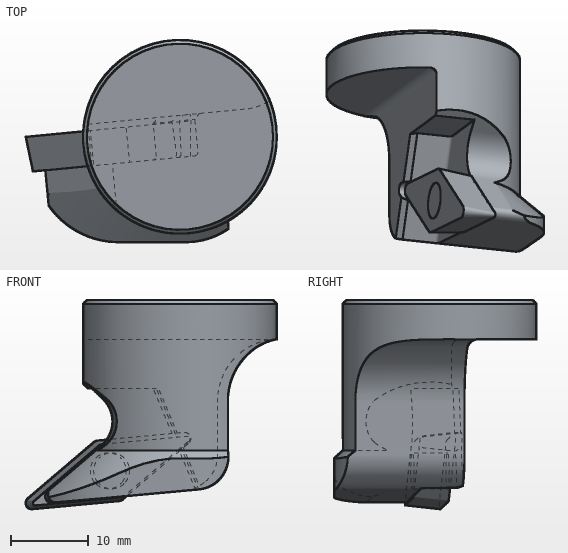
import cadquery as cq
import math


def sin_deg(angle):
    return math.sin(math.radians(angle))


def cos_deg(angle):
    return math.cos(math.radians(angle))


def tan_deg(angle):
    return math.tan(math.radians(angle))


def along(start, angle, distance):
    """Point reached from start by going a distance in the direction of an angle."""
    return (start[0] + distance * cos_deg(angle), start[1] + distance * sin_deg(angle))


head_diameter = 25.0
head_top_z = 27.0
head_chamfer = 0.5
tool_twist = 5.5
overshoot = 30.0

insert_angle = 35.0
insert_side = 14.05
insert_thickness = 4.55
insert_face = 1.907
insert_nose_radius = 0.8
insert_relief = 6.3
stud_diameter = 4.64
insert_corner = (-21.46, -0.234)
lower_edge_angle = 5.3
upper_edge_angle = lower_edge_angle + insert_angle
bisector_angle = lower_edge_angle + insert_angle / 2

insert_margin = 0.18
body_nose_radius = 0.8
gullet_radius = 4.1
gullet_start_z = 8.2
gullet_roof_angle = 43.5
right_wall = 5.13
right_scoop_radius = 7.95
right_scoop_z = 14.0
heel_radius = 4.4

flare_top_z = 7.6
flare_angle = 42.4
skirt_front_y = -13.61
skirt_left = (-17.16, -8.51)
skirt_left_radius = 11.0
skirt_right = (6.6, -11.6)
skirt_right_radius = 9.6

flat_distance = 2.75
flat_top_z = 21.9
flat_root_radius = 1.0
pocket_floor = insert_face - insert_thickness
pocket_wall_distance = 22.9
pocket_top_z = 15.6
pocket_root_radius = 0.5
pocket_edge_bevel = 0.7

head_radius = head_diameter / 2


def twisted(shape):
    return shape.rotate((0, 0, 0), (0, 0, 1), tool_twist)


def side_plane(distance):
    """Sketch plane in X and Z at a distance along Y; extrusions go toward -Y."""
    return cq.Workplane("XZ", origin=(0, distance, 0))


def insert_outline():
    far_lower = along(insert_corner, lower_edge_angle, insert_side)
    far_upper = along(insert_corner, upper_edge_angle, insert_side)
    far_corner = along(far_lower, upper_edge_angle, insert_side)
    sharp = cq.Sketch().polygon([insert_corner, far_lower, far_corner, far_upper, insert_corner])
    return sharp.vertices().fillet(insert_nose_radius)


def insert_blank():
    flat = side_plane(insert_face).placeSketch(insert_outline())
    return flat.extrude(insert_thickness, taper=insert_relief)


def stud():
    """Cylinder through the middle of the insert, flush with both of its faces."""
    half_diagonal = insert_side * cos_deg(insert_angle / 2)
    center = along(insert_corner, bisector_angle, half_diagonal)
    return side_plane(insert_face).center(*center).circle(stud_diameter / 2).extrude(insert_thickness)


def make_insert():
    return twisted(insert_blank().cut(stud()))


def tangent_run(radius, rise):
    """Length along a line in which an arc tangent to it rises by the given amount."""
    return math.sqrt(radius**2 - (radius - rise) ** 2)


def skirt():
    """Cone flaring downward from the head, trimmed to its plan outline."""
    flare_radius = head_radius + flare_top_z / tan_deg(flare_angle)
    cone = cq.Workplane("XZ").polyline(
        [(0, 0), (flare_radius, 0), (head_radius, flare_top_z), (0, flare_top_z)]
    ).close().revolve(360, (0, 0, 0), (0, 1, 0))
    left_tangent_x = skirt_left[0] + tangent_run(skirt_left_radius, skirt_left[1] - skirt_front_y)
    right_tangent_x = skirt_right[0] - tangent_run(skirt_right_radius, skirt_right[1] - skirt_front_y)
    plan = (
        cq.Workplane("XY")
        .moveTo(-overshoot, skirt_left[1])
        .lineTo(*skirt_left)
        .radiusArc((left_tangent_x, skirt_front_y), -skirt_left_radius)
        .lineTo(right_tangent_x, skirt_front_y)
        .radiusArc(skirt_right, -skirt_right_radius)
        .lineTo(overshoot, skirt_right[1])
        .lineTo(overshoot, overshoot)
        .lineTo(-overshoot, overshoot)
        .close()
        .extrude(flare_top_z)
    )
    return cone.intersect(plan)


def side_profile():
    """Nose, gullet, right scoop and heel as one prism across the body."""
    setback = insert_thickness * tan_deg(insert_relief) + insert_margin
    half_angle = insert_angle / 2
    corner = along(insert_corner, bisector_angle, setback / sin_deg(half_angle))

    nose_tangent = body_nose_radius / tan_deg(half_angle)
    nose_center = along(corner, bisector_angle, body_nose_radius / sin_deg(half_angle))
    nose_lower = along(corner, lower_edge_angle, nose_tangent)
    nose_middle = along(nose_center, bisector_angle + 180, body_nose_radius)
    nose_upper = along(corner, upper_edge_angle, nose_tangent)

    flank_length = (gullet_start_z - corner[1]) / sin_deg(upper_edge_angle)
    gullet_start = along(corner, upper_edge_angle, flank_length)
    gullet_center = along(gullet_start, upper_edge_angle + 90, gullet_radius)
    gullet_middle = along(gullet_center, 0, gullet_radius)
    gullet_end = along(gullet_center, 90 - gullet_roof_angle, gullet_radius)
    roof_end = along(gullet_end, 180 - gullet_roof_angle, head_radius)

    scoop_center = (right_wall + right_scoop_radius, right_scoop_z)
    scoop_top = along(scoop_center, 90, right_scoop_radius)
    scoop_middle = along(scoop_center, 135, right_scoop_radius)

    heel_corner_z = corner[1] + (right_wall - corner[0]) * tan_deg(lower_edge_angle)
    heel_corner = (right_wall, heel_corner_z)
    heel_turn = 90 - lower_edge_angle
    heel_tangent = heel_radius * tan_deg(heel_turn / 2)
    heel_start = along(heel_corner, 90, heel_tangent)
    heel_end = along(heel_corner, lower_edge_angle + 180, heel_tangent)
    heel_center = along(heel_start, 180, heel_radius)
    heel_middle = along(heel_center, -heel_turn / 2, heel_radius)

    return (
        side_plane(overshoot)
        .moveTo(*nose_lower)
        .threePointArc(nose_middle, nose_upper)
        .lineTo(*gullet_start)
        .threePointArc(gullet_middle, gullet_end)
        .lineTo(*roof_end)
        .lineTo(roof_end[0], head_top_z)
        .lineTo(overshoot, head_top_z)
        .lineTo(overshoot, scoop_top[1])
        .lineTo(*scoop_top)
        .threePointArc(scoop_middle, (right_wall, right_scoop_z))
        .lineTo(*heel_start)
        .threePointArc(heel_middle, heel_end)
        .close()
        .extrude(2 * overshoot)
    )


def flat_cutter():
    """Block that leaves the flat and its rounded shelf on the +Y side."""
    return (
        cq.Workplane("XY")
        .box(2 * overshoot, overshoot, flat_top_z, centered=(True, False, False))
        .translate((0, flat_distance, 0))
        .edges("<Y and >Z")
        .fillet(flat_root_radius)
    )


def pocket_cutter():
    """Pocket open toward -X and +Y; its end wall is square to the insert's long diagonal."""
    wall_top = flat_distance - pocket_edge_bevel
    bevel_end = pocket_wall_distance + pocket_edge_bevel
    pocket = (
        cq.Workplane("XY", origin=(0, 0, -overshoot))
        .moveTo(-overshoot, pocket_floor)
        .lineTo(pocket_wall_distance, pocket_floor)
        .lineTo(pocket_wall_distance, wall_top)
        .lineTo(bevel_end, flat_distance)
        .lineTo(bevel_end, overshoot)
        .lineTo(-overshoot, overshoot)
        .close()
        .extrude(2 * overshoot)
        .edges(cq.selectors.NearestToPointSelector((pocket_wall_distance, pocket_floor, 0)))
        .fillet(pocket_root_radius)
        .rotate((0, 0, 0), (0, 1, 0), -bisector_angle)
        .translate((insert_corner[0], 0, insert_corner[1]))
    )
    below_roof = cq.Workplane("XY").box(
        2 * overshoot, 2 * overshoot, pocket_top_z, centered=(True, True, False)
    )
    return pocket.intersect(below_roof)


def seat_cutter():
    """Recess around the insert, open straight up from its cutting face."""
    opening = side_plane(overshoot).placeSketch(insert_outline()).extrude(overshoot - insert_face)
    return insert_blank().union(opening)


def make_body():
    head_height = head_top_z - flare_top_z
    head = (
        cq.Workplane("XY", origin=(0, 0, flare_top_z))
        .circle(head_radius)
        .extrude(head_height)
        .faces(">Z")
        .chamfer(head_chamfer)
    )
    body = head.union(skirt()).intersect(twisted(side_profile()))
    for cutter in (flat_cutter(), pocket_cutter(), seat_cutter()):
        body = body.cut(twisted(cutter))
    return body.union(twisted(stud()))


body = make_body()
insert = make_insert()

result = cq.Compound.makeCompound([*body.solids().vals(), *insert.solids().vals()])